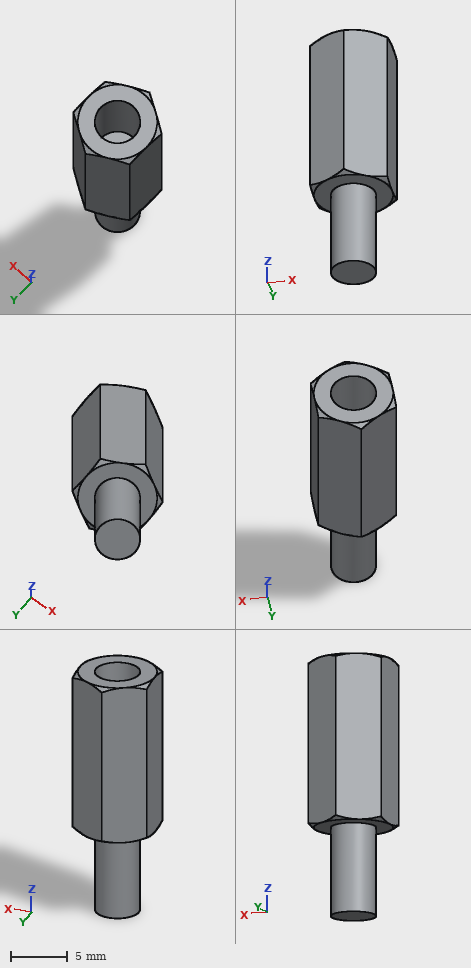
import cadquery as cq
import math

TOTAL_LENGTH = 23.0
HEX_LENGTH = 15.0
ACROSS_FLATS = 7.0
THREAD_DIAMETER = 4.0
CHAMFER_ANGLE = 30.0

STUD_LENGTH = TOTAL_LENGTH - HEX_LENGTH
SOCKET_DEPTH = STUD_LENGTH
FLAT_RADIUS = ACROSS_FLATS / 2
CORNER_RADIUS = FLAT_RADIUS / math.cos(math.radians(30))
CHAMFER_WIDTH = CORNER_RADIUS - FLAT_RADIUS
CHAMFER_HEIGHT = CHAMFER_WIDTH * math.tan(math.radians(CHAMFER_ANGLE))


def make_chamfer_envelope():
    """Round bar with coned ends that trims the hexagon's corners."""
    return (
        cq.Workplane("XZ")
        .moveTo(0, 0)
        .lineTo(FLAT_RADIUS, 0)
        .lineTo(CORNER_RADIUS, CHAMFER_HEIGHT)
        .lineTo(CORNER_RADIUS, HEX_LENGTH - CHAMFER_HEIGHT)
        .lineTo(FLAT_RADIUS, HEX_LENGTH)
        .lineTo(0, HEX_LENGTH)
        .close()
        .revolve(360, (0, 0, 0), (0, 1, 0))
    )


def make_hex_body():
    """Hexagonal spacer with corners on the Y axis and a blind socket in its top."""
    hexagon = (
        cq.Workplane("XY")
        .polygon(6, 2 * CORNER_RADIUS)
        .extrude(HEX_LENGTH)
        .rotate((0, 0, 0), (0, 0, 1), 90)
    )
    socket = (
        cq.Workplane("XY")
        .workplane(offset=HEX_LENGTH - SOCKET_DEPTH)
        .circle(THREAD_DIAMETER / 2)
        .extrude(SOCKET_DEPTH)
    )
    return hexagon.intersect(make_chamfer_envelope()).cut(socket)


def make_stud():
    """Plain round stud that hangs from the bottom face of the hexagon."""
    return cq.Workplane("XY").circle(THREAD_DIAMETER / 2).extrude(-STUD_LENGTH)


hex_body = make_hex_body()
stud = make_stud()

result = cq.Compound.makeCompound([hex_body.val(), stud.val()])